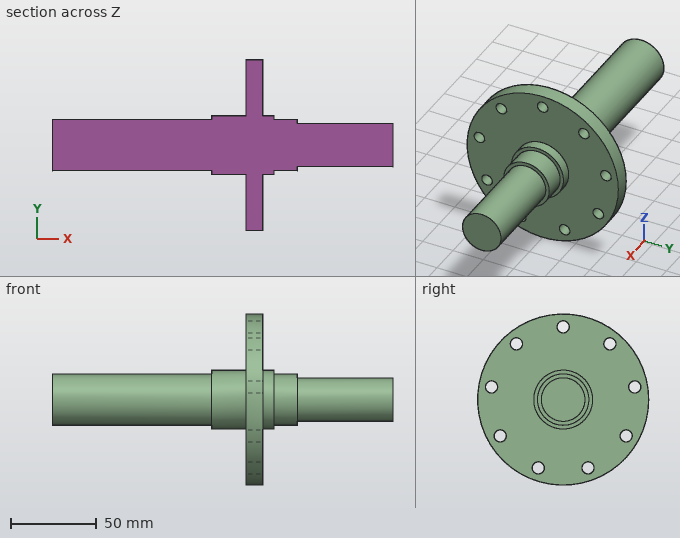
import cadquery as cq

long_journal_end = 93.0
flange_start = 113.0
flange_thickness = 10.0
flange_end = flange_start + flange_thickness
collar_end = 129.5
shoulder_end = 143.0
shaft_length = 199.0

long_journal_diameter = 30.0
collar_diameter = 34.5
flange_diameter = 100.0
shoulder_diameter = long_journal_diameter
short_journal_diameter = 25.5

bolt_count = 9
bolt_hole_diameter = 7.0
bolt_circle_diameter = 85.0


def cylinder_along_x(start, end, diameter):
    """Solid cylinder on the X axis between two axial positions."""
    return cq.Workplane("YZ", origin=(start, 0, 0)).circle(diameter / 2).extrude(end - start)


def bolt_holes():
    """Ring of cutters; angles are measured from +Y, so 90 degrees points to +Z."""
    return (
        cq.Workplane("YZ", origin=(flange_start, 0, 0))
        .polarArray(bolt_circle_diameter / 2, 90, 360, bolt_count)
        .circle(bolt_hole_diameter / 2)
        .extrude(flange_thickness)
    )


shaft = cylinder_along_x(0, long_journal_end, long_journal_diameter)
shaft = shaft.union(cylinder_along_x(long_journal_end, collar_end, collar_diameter))
shaft = shaft.union(cylinder_along_x(collar_end, shoulder_end, shoulder_diameter))
shaft = shaft.union(cylinder_along_x(shoulder_end, shaft_length, short_journal_diameter))
flange = cylinder_along_x(flange_start, flange_end, flange_diameter)

result = shaft.union(flange).cut(bolt_holes())